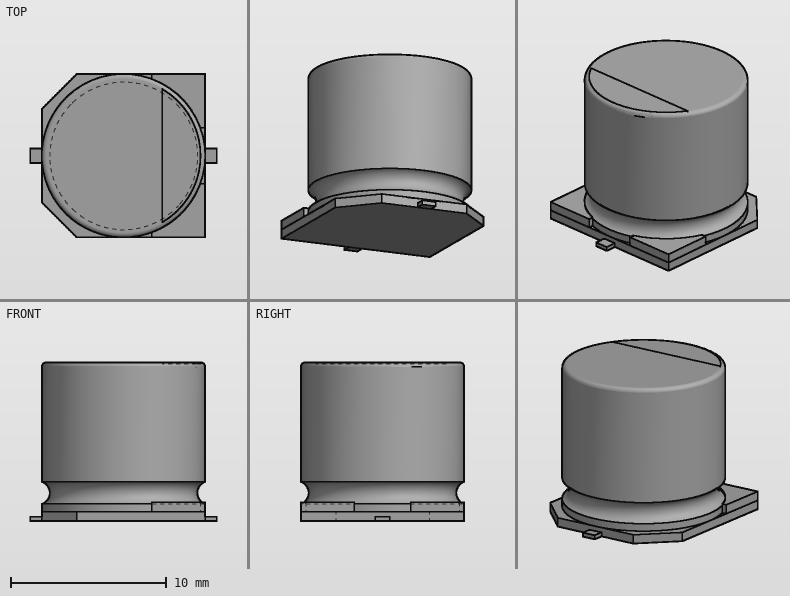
import cadquery as cq

can_diameter = 10.5
can_radius = can_diameter / 2
total_height = 10.2
total_length = 12.0

base_thickness = 0.6
base_chamfer = 2.25

block_inner_edge = 1.8
block_top = 1.2

groove_bottom = 1.1
groove_top = 2.52
groove_depth = 0.5
rim_fillet = 0.3

mark_edge = 2.48
mark_depth = 0.1
mark_radius = can_radius - rim_fillet

lead_width = 0.94
lead_thickness = 0.28
lead_length = (total_length - can_diameter) / 2


def make_base():
    """Square plate with both -X corners cut off at 45 degrees."""
    plate = cq.Workplane("XY").box(can_diameter, can_diameter, base_thickness, centered=(True, True, False))
    return plate.edges("|Z and <X").chamfer(base_chamfer)


def make_mark():
    """Thin circular segment on the +X side of the can top."""
    disc = (
        cq.Workplane("XY")
        .workplane(offset=total_height - mark_depth)
        .circle(mark_radius)
        .extrude(mark_depth)
    )
    segment_side = (
        cq.Workplane("XY")
        .box(can_radius, can_diameter, total_height, centered=(False, True, False))
        .translate((mark_edge, 0, 0))
    )
    return disc.intersect(segment_side)


def make_can(mark):
    """Round can with a rolled groove near the bottom, a rounded rim and a recess for the mark."""
    groove_middle = (groove_bottom + groove_top) / 2
    profile = (
        cq.Workplane("XZ")
        .moveTo(0, base_thickness)
        .lineTo(can_radius, base_thickness)
        .lineTo(can_radius, groove_bottom)
        .threePointArc((can_radius - groove_depth, groove_middle), (can_radius, groove_top))
        .lineTo(can_radius, total_height)
        .lineTo(0, total_height)
        .close()
    )
    body = profile.revolve(360, (0, 0, 0), (0, 1, 0))
    return body.faces(">Z").edges().fillet(rim_fillet).cut(mark)


def make_corner_block(side):
    """Corner block on the +X side, hollowed to fit around the can; side is +1 or -1 along Y."""
    block_width = can_radius - block_inner_edge
    block_height = block_top - base_thickness
    block_centre = block_inner_edge + block_width / 2
    block = (
        cq.Workplane("XY")
        .box(block_width, block_width, block_height, centered=(True, True, False))
        .translate((block_centre, side * block_centre, base_thickness))
    )
    can_space = cq.Workplane("XY").circle(can_radius).extrude(total_height)
    return block.cut(can_space)


def make_lead(side):
    """Flat lead against the end of the base; side is +1 or -1 along X."""
    return (
        cq.Workplane("XY")
        .box(lead_length, lead_width, lead_thickness, centered=(True, True, False))
        .translate((side * (can_radius + lead_length / 2), 0, 0))
    )


base = make_base()
mark = make_mark()
can = make_can(mark)
corner_blocks = [make_corner_block(side) for side in (-1, 1)]
leads = [make_lead(side) for side in (-1, 1)]

result = cq.Compound.makeCompound([
    base.solids().val(),
    can.solids().val(),
    mark.solids().val(),
    *[block.solids().val() for block in corner_blocks],
    *[lead.val() for lead in leads],
])